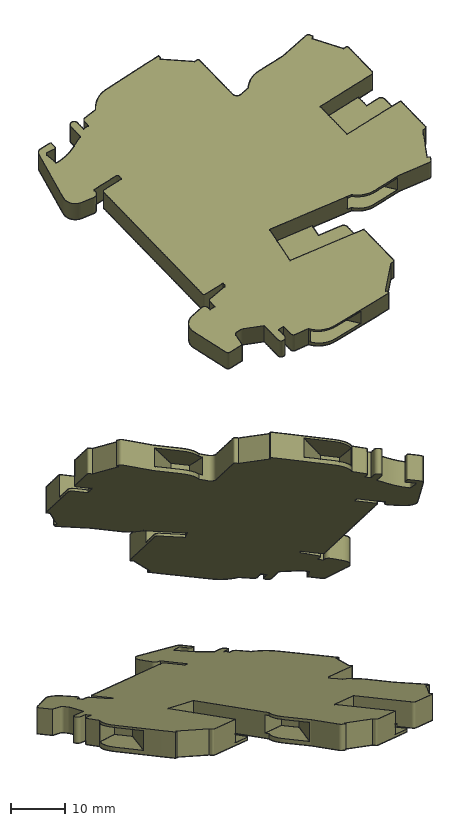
import cadquery as cq
import math

thickness = 5.0
half_width = 34.5
total_height = 62.7
shoulder_y = 39.25
tower_x = -3.05
tilt = 10.0
flank_radius = 5.25
edge_radius = 0.35

tab_top_y = 12.7
tab_bottom_y = 11.2
tab_radius = (tab_top_y - tab_bottom_y) / 2
relief_y = 13.9
relief_radius = 0.7
base_y = 6.7
toe_y = 5.6
heel_y = -0.55
heel_radius = 2.5
toe_radius = 0.9
base_radius = 0.4
slit_radius = 0.3

pocket_width = 8.1
pocket_floor_z = 0.55
notch_width = 2.5
notch_start = 8.9
notch_radius = 0.9
notch_wall_radius = 0.55
upper_pocket = (-7.05, 50.2, 0.0)
lower_pocket = (9.5, 25.5, tilt)

tower_half_width = 17.4
entry_depth = 7.25
tower_mouth = (41.25, 51.6, 0.8, 4.4)
tower_bottom = (42.3, 45.95, 1.45, 4.4)
shoulder_mouth = (17.2, 27.45, 0.8, 4.55)
shoulder_bottom = (17.95, 21.7, 1.45, 4.15)


def in_pocket(pocket, across, along):
    """Point at a distance across and along a pocket from its inner left corner."""
    x, y, lean = pocket
    c = math.cos(math.radians(lean))
    s = math.sin(math.radians(lean))
    return (x + across * c + along * s, y - across * s + along * c)


def along_to_height(pocket, across, y):
    """Distance along a pocket at which the given line reaches height y."""
    lean = math.radians(pocket[2])
    return (y - pocket[1] + across * math.sin(lean)) / math.cos(lean)


def rounded_outline(corners):
    """Closed wire through corners (x, y) or (x, y, radius), each rounded by its radius."""
    shortest_edge = 0.0001
    starts, middles, ends = [], [], []
    for i, corner in enumerate(corners):
        here = cq.Vector(*corner[:2])
        radius = corner[2] if len(corner) > 2 else 0.0
        back = (cq.Vector(*corners[i - 1][:2]) - here).normalized()
        ahead = (cq.Vector(*corners[(i + 1) % len(corners)][:2]) - here).normalized()
        half_angle = back.getAngle(ahead) / 2
        tangent = radius / math.tan(half_angle)
        bulge = radius / math.sin(half_angle) - radius
        starts.append(here + back * tangent)
        middles.append(here + (back + ahead).normalized() * bulge if radius else None)
        ends.append(here + ahead * tangent)
    outline = cq.Workplane("XY").moveTo(starts[0].x, starts[0].y)
    for i, (start, middle, end) in enumerate(zip(starts, middles, ends)):
        if i and (start - ends[i - 1]).Length > shortest_edge:
            outline = outline.lineTo(start.x, start.y)
        if middle:
            outline = outline.threePointArc((middle.x, middle.y), (end.x, end.y))
    return outline.close()


def place(points, axis, side):
    """Put a flank, given by distances from its axis, on the left (-1) or right (+1)."""
    return [(axis + side * p[0], *p[1:]) for p in points]


tower_flank = [
    (11.9, total_height, edge_radius),
    (11.9, 61.8),
    (17.25, 58.65),
    (17.6, 59.1),
    (18.55, 58.65, 0.6),
    (tower_half_width, 51.95),
    (tower_half_width, 44.0, flank_radius),
    (15.5, 42.4),
]
shoulder_flank = [
    (29.4, shoulder_y, edge_radius),
    (29.4, 38.35),
    (33.75, 33.7),
    (33.95, 33.95),
    (half_width, 33.95),
    (half_width, 31.2),
    (34.3, 18.8, flank_radius),
    (31.9, 17.2),
]

left_foot = [
    (-31.5, relief_y, relief_radius),
    (-29.75, relief_y),
    (-29.75, tab_top_y),
    (-32.3, tab_top_y, tab_radius),
    (-32.3, tab_bottom_y, tab_radius),
    (-28.7, tab_bottom_y),
    (-26.6, 6.5, 10.35),
    (-26.6, 3.9, 0.3),
    (-29.6, 3.65, 0.4),
    (-29.3, 6.0, 0.3),
    (-31.0, 6.0, 0.2),
    (-31.0, 2.8, 1.05),
    (-17.1, heel_y, heel_radius),
    (-15.95, toe_y, toe_radius),
    (-17.5, toe_y),
    (-17.5, tab_bottom_y, slit_radius),
    (-16.35, tab_bottom_y),
    (-16.35, base_y, base_radius),
]
right_foot = [
    (14.0, base_y, slit_radius),
    (14.0, tab_bottom_y),
    (14.8, tab_bottom_y, slit_radius),
    (15.45, base_y, base_radius),
    (17.3, base_y),
    (17.3, toe_y),
    (15.8, toe_y, toe_radius),
    (16.9, heel_y, heel_radius),
    (27.3, 2.0, 0.6),
    (27.3, 5.3),
    (24.4, 5.8, 0.6),
    (24.4, 7.45, 1.4),
    (26.35, tab_bottom_y),
    (31.2, tab_bottom_y, tab_radius),
    (31.2, tab_top_y, tab_radius),
    (28.7, tab_top_y),
    (28.7, relief_y),
    (31.4, relief_y, relief_radius),
]


def notch(pocket, top_y):
    """Corners of the through notch from left to right, ending on the edge at top_y."""
    return [
        in_pocket(pocket, 0, notch_start),
        in_pocket(pocket, notch_width, notch_start),
        (*in_pocket(pocket, notch_width, along_to_height(pocket, notch_width, top_y)), notch_radius),
    ]


upper_notch = [(upper_pocket[0], total_height, notch_wall_radius)] + notch(upper_pocket, total_height)
lower_notch = notch(lower_pocket, shoulder_y)
tower_foot = [(-18.0, shoulder_y, 1.05)]

outline = (
    place(shoulder_flank, 0, -1)
    + left_foot
    + right_foot
    + place(shoulder_flank, 0, 1)[::-1]
    + lower_notch[::-1]
    + place(tower_flank, tower_x, 1)[::-1]
    + upper_notch[::-1]
    + place(tower_flank, tower_x, -1)
    + tower_foot
)
housing = rounded_outline(outline).extrude(thickness)


def screw_pocket(pocket, top_y):
    """Pocket open to the front and through the upper edge at top_y."""
    corners = [
        in_pocket(pocket, 0, 0),
        in_pocket(pocket, pocket_width, 0),
        in_pocket(pocket, pocket_width, along_to_height(pocket, pocket_width, top_y)),
        in_pocket(pocket, 0, along_to_height(pocket, 0, top_y)),
    ]
    floor = cq.Workplane("XY").workplane(offset=pocket_floor_z)
    return floor.polyline(corners).close().extrude(thickness)


housing = housing.cut(screw_pocket(upper_pocket, total_height))
housing = housing.cut(screw_pocket(lower_pocket, shoulder_y))


def wire_entry(mouth, bottom, wall_x, side):
    """Funnel entering from the wall at wall_x towards the middle of the housing."""

    def frame(x, opening):
        y_low, y_high, z_low, z_high = opening
        corners = [(x, y_low, z_low), (x, y_high, z_low), (x, y_high, z_high), (x, y_low, z_high)]
        return cq.Wire.makePolygon([cq.Vector(*c) for c in corners], close=True)

    inner_x = wall_x - side * entry_depth
    return cq.Solid.makeLoft([frame(wall_x, mouth), frame(inner_x, bottom)], True)


for side in (-1, 1):
    tower_wall = tower_x + side * tower_half_width
    shoulder_wall = side * half_width
    housing = housing.cut(cq.Workplane(wire_entry(tower_mouth, tower_bottom, tower_wall, side)))
    housing = housing.cut(cq.Workplane(wire_entry(shoulder_mouth, shoulder_bottom, shoulder_wall, side)))

result = housing